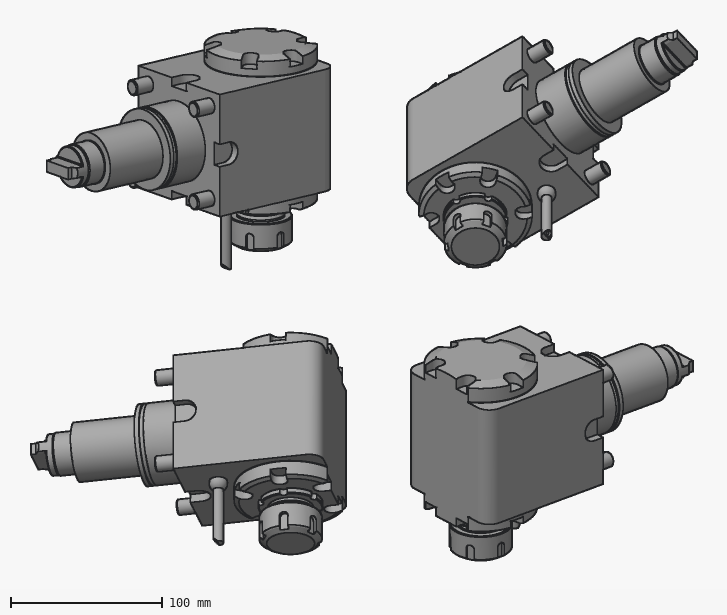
import cadquery as cq
import math


block_width = 85.0
block_depth = 100
block_height = 84.5
block_corner_radius = 10.0
block_top = block_height / 2
block_bottom = -block_height / 2

key_width = 15.5
key_length = 15.5
key_depth = 6.0

shank_diameter = 55
shank_end = 30.0
pilot_diameter = 40.0
pilot_end = 75.0
drive_collar_diameter = 29.5
drive_collar_length = 0.6
drive_diameter = 29.0
drive_end = 88.0
drive_taper_length = 1.0
tang_diameter = 28.0
tang_root = 93.5
tang_root_chamfer = 0.6
tang_end = 104

ring_start = 23.9
ring_section = 3.0

tang_thickness = 8.0
tang_tip_width = 22.5
tang_tip_length = 3.3
tang_flank_drop = 0.6
tang_root_rise = 0.6

cap_diameter = 75.0
cap_axis_y = 70.0
cap_seat_diameter = 74.7
cap_seat_height = 0.5
top_cap_height = 13.3
top_cap_bevel_width = 7.5
top_cap_bevel_height = 2.5
bottom_cap_height = 11.8
bottom_cap_bevel_width = 3.3
bottom_cap_bevel_height = 1.5

cap_slot_width = 10.6
cap_slot_floor = 5.5
cap_slot_radius = 31.8
cap_slot_angles = [0, 180, 240, 308.5]
back_slot_x = 16.0
back_slot_y = 24.5

screw_diameter = 10.6
screw_length = 14.0
screw_chamfer = 0.8
screw_offset = 32.0

collar_diameter = 42.8
collar_chamfer = 0.6
collar_height = 4.3
neck_diameter = 30.5
neck_end = 6.3
relief_diameter = 29.4
relief_end = 7.0
thread_diameter = 32.0
thread_start = 9.2
nut_diameter = 41.6
nut_start = 10.5
nut_end = 30.8
nut_top_chamfer = 0.6
nut_bevel_width = 4.9
nut_bevel_height = 3.3
nut_rim_chamfer = 0.8
notch_count = 6
collar_notch_diameter = 5.0
nut_slot_width = 5.7
nut_slot_length = 13.3
nut_slot_floor_radius = 18.2

nozzle_x = 18.5
nozzle_y = 25.0
ball_diameter = 12.2
ball_drop = 1.8
tube_diameter = 7.0
tube_end_z = -88.5
outlet_diameter = 4
outlet_depth = 3.0


def revolve_about_z(points):
    """Solid from a closed outline of (radius, z) points, turned about the Z axis."""
    return cq.Workplane("XZ").polyline(points).close().revolve(360, (0, 0, 0), (0, 1, 0))


def make_block():
    """Block with its two rear upright edges rounded."""
    block = cq.Workplane("XY").box(
        block_width, block_depth, block_height, centered=(True, False, True)
    )
    return block.edges("|Z and >Y").fillet(block_corner_radius)


def make_key_slot(angle, face_distance):
    """Cutter for a round-ended slot, open to the front, in the face at an angle about Y."""
    radius = key_width / 2
    slot = (
        cq.Workplane("XY", origin=(0, 0, face_distance - key_depth))
        .moveTo(-radius, 0)
        .lineTo(-radius, key_length - radius)
        .threePointArc((0, key_length), (radius, key_length - radius))
        .lineTo(radius, 0)
        .close()
        .extrude(key_depth)
    )
    return slot.rotate((0, 0, 0), (0, 1, 0), angle)


def make_shank():
    """Stepped round shank with an O-ring, ending at the root of the drive tang."""
    shank_radius = shank_diameter / 2
    pilot_radius = pilot_diameter / 2
    collar_radius = drive_collar_diameter / 2
    drive_radius = drive_diameter / 2
    tang_radius = tang_diameter / 2
    ring_radius = ring_section / 2
    ring_end = ring_start + ring_section
    ring_middle = ring_start + ring_radius
    profile = (
        cq.Workplane("XY")
        .lineTo(shank_radius, 0)
        .lineTo(shank_radius, -ring_start)
        .lineTo(shank_radius - ring_radius, -ring_start)
        .threePointArc((shank_radius, -ring_middle), (shank_radius - ring_radius, -ring_end))
        .lineTo(shank_radius, -ring_end)
        .lineTo(shank_radius, -shank_end)
        .lineTo(pilot_radius, -shank_end)
        .lineTo(pilot_radius, -pilot_end)
        .lineTo(collar_radius, -pilot_end)
        .lineTo(collar_radius, -pilot_end - drive_collar_length)
        .lineTo(drive_radius, -pilot_end - drive_collar_length)
        .lineTo(drive_radius, -drive_end)
        .lineTo(tang_radius, -drive_end - drive_taper_length)
        .lineTo(tang_radius, -tang_root + tang_root_chamfer)
        .lineTo(tang_radius - tang_root_chamfer, -tang_root)
        .lineTo(0, -tang_root)
    )
    return profile.close().revolve(360, (0, 0, 0), (0, 1, 0))


def make_tang():
    """Flat drive tang with thinned flanks, a narrower tip and a bevelled root."""
    half_width = tang_diameter / 2
    half_tip = tang_tip_width / 2
    half_thickness = tang_thickness / 2
    flank_half = half_thickness - tang_flank_drop
    flank_width = half_width - half_tip
    tip_start = tang_end - tang_tip_length
    plan = (
        cq.Workplane("XY", origin=(0, 0, -half_thickness))
        .polyline([
            (-half_width, -drive_end - drive_taper_length),
            (-half_width, -tip_start + flank_width),
            (-half_tip, -tip_start),
            (-half_tip, -tang_end),
            (half_tip, -tang_end),
            (half_tip, -tip_start),
            (half_width, -tip_start + flank_width),
            (half_width, -drive_end - drive_taper_length),
        ])
        .close()
        .extrude(tang_thickness)
    )
    section = (
        cq.Workplane("XZ")
        .polyline([
            (-half_width, -flank_half),
            (-half_tip, -half_thickness),
            (half_tip, -half_thickness),
            (half_width, -flank_half),
            (half_width, flank_half),
            (half_tip, half_thickness),
            (-half_tip, half_thickness),
            (-half_width, flank_half),
        ])
        .close()
        .extrude(tang_end)
    )
    round_bar = cq.Workplane("XZ").circle(half_width).extrude(tang_end)
    root_end = tang_root + tang_root_rise
    root_half = half_thickness + tang_root_rise
    root = (
        cq.Workplane("YZ")
        .polyline([
            (-tang_root, -root_half),
            (-root_end, -half_thickness),
            (-root_end, half_thickness),
            (-tang_root, root_half),
        ])
        .close()
        .extrude(half_width - tang_root_chamfer, both=True)
    )
    return plan.intersect(section).union(root).intersect(round_bar)


def make_cap_slot(x, y, angle, height):
    """Cutter for one cap slot: round at (x, y) and open outward in the direction of angle."""
    radius = cap_slot_width / 2
    slot = (
        cq.Workplane("XY", origin=(0, 0, cap_slot_floor))
        .moveTo(cap_diameter / 2, radius)
        .lineTo(0, radius)
        .threePointArc((-radius, 0), (0, -radius))
        .lineTo(cap_diameter / 2, -radius)
        .close()
        .extrude(height)
    )
    return slot.rotate((0, 0, 0), (0, 0, 1), angle).translate((x, y, 0))


def make_cap(height, bevel_width, bevel_height):
    """Slotted cap standing on z = 0 about the Z axis, cut off flush with the block's back."""
    radius = cap_diameter / 2
    seat_radius = cap_seat_diameter / 2
    cap = revolve_about_z([
        (0, 0),
        (seat_radius, 0),
        (seat_radius, cap_seat_height),
        (radius, cap_seat_height),
        (radius, height - bevel_height),
        (radius - bevel_width, height),
        (0, height),
    ])
    for angle in cap_slot_angles:
        x = cap_slot_radius * math.cos(math.radians(angle))
        y = cap_slot_radius * math.sin(math.radians(angle))
        cap = cap.cut(make_cap_slot(x, y, angle, height))
    for side in (-1, 1):
        cap = cap.cut(make_cap_slot(side * back_slot_x, back_slot_y, 90, height))
    beyond_back = cq.Workplane("XY", origin=(0, block_depth - cap_axis_y, 0)).box(
        cap_diameter, cap_diameter, height, centered=(True, False, False)
    )
    return cap.cut(beyond_back)


def make_housing():
    """Block with its shank, drive tang and both caps, and a socket for the nozzle ball."""
    top_cap = make_cap(top_cap_height, top_cap_bevel_width, top_cap_bevel_height)
    bottom_cap = make_cap(bottom_cap_height, bottom_cap_bevel_width, bottom_cap_bevel_height)
    bottom_cap = bottom_cap.rotate((0, 0, 0), (0, 1, 0), 180)
    housing = make_block()
    for angle in (0, 180):
        housing = housing.cut(make_key_slot(angle, block_height / 2))
    for angle in (90, 270):
        housing = housing.cut(make_key_slot(angle, block_width / 2))
    return (
        housing.union(make_shank())
        .union(make_tang())
        .union(top_cap.translate((0, cap_axis_y, block_top)))
        .union(bottom_cap.translate((0, cap_axis_y, block_bottom)))
        .cut(make_ball())
    )


def make_screw(x, z):
    """Screw end standing on the front face of the block."""
    return (
        cq.Workplane("XZ", origin=(x, 0, z))
        .circle(screw_diameter / 2)
        .extrude(screw_length)
        .faces("<Y")
        .chamfer(screw_chamfer)
    )


def make_collar_notches():
    """Round notches around the rim of the spindle collar."""
    return (
        cq.Workplane("XY")
        .polarArray(collar_diameter / 2, 0, 360, notch_count)
        .circle(collar_notch_diameter / 2)
        .extrude(-collar_height)
    )


def make_nut_slot(angle):
    """Cutter for one wrench slot of the nut: round at the top and open at the bottom."""
    radius = nut_slot_width / 2
    top = nut_slot_length - nut_end
    slot = (
        cq.Workplane("YZ", origin=(nut_slot_floor_radius, 0, 0))
        .moveTo(-radius, -nut_end)
        .lineTo(-radius, top - radius)
        .threePointArc((0, top), (radius, top - radius))
        .lineTo(radius, -nut_end)
        .close()
        .extrude(nut_diameter)
    )
    return slot.rotate((0, 0, 0), (0, 0, 1), angle)


def make_collet_spindle():
    """Notched collar, threaded neck and clamping nut, hanging from the bottom cap."""
    collar_radius = collar_diameter / 2
    neck_radius = neck_diameter / 2
    relief_radius = relief_diameter / 2
    thread_radius = thread_diameter / 2
    nut_radius = nut_diameter / 2
    spindle = revolve_about_z([
        (0, 0),
        (collar_radius - collar_chamfer, 0),
        (collar_radius, -collar_chamfer),
        (collar_radius, -collar_height + collar_chamfer),
        (collar_radius - collar_chamfer, -collar_height),
        (neck_radius, -collar_height),
        (neck_radius, -neck_end),
        (relief_radius, -neck_end),
        (relief_radius, -relief_end),
        (thread_radius, -thread_start),
        (thread_radius, -nut_start),
        (nut_radius - nut_top_chamfer, -nut_start),
        (nut_radius, -nut_start - nut_top_chamfer),
        (nut_radius, -nut_end + nut_bevel_height),
        (nut_radius - nut_rim_chamfer, -nut_end + nut_bevel_height - nut_rim_chamfer),
        (nut_radius - nut_bevel_width, -nut_end),
        (0, -nut_end),
    ])
    spindle = spindle.cut(make_collar_notches())
    for index in range(notch_count):
        spindle = spindle.cut(make_nut_slot(index * 360 / notch_count))
    return spindle.translate((0, cap_axis_y, block_bottom - bottom_cap_height))


def make_ball():
    """Ball of the nozzle, partly sunk into the underside of the block."""
    return (
        cq.Workplane("XY", origin=(nozzle_x, nozzle_y, block_bottom - ball_drop))
        .sphere(ball_diameter / 2)
    )


def make_nozzle():
    """Ball with a tube below it; the tube's tip is cut at 45 degrees on the front side.

    The outlet is drilled square into the slanted face.
    """
    tube_radius = tube_diameter / 2
    ball_z = block_bottom - ball_drop
    tube = (
        cq.Workplane("XY", origin=(nozzle_x, nozzle_y, tube_end_z))
        .circle(tube_radius)
        .extrude(ball_z - tube_end_z)
    )
    tip_cut = (
        cq.Workplane("YZ", origin=(nozzle_x, nozzle_y, tube_end_z))
        .polyline([(0, 0), (-tube_radius, 0), (-tube_radius, tube_radius)])
        .close()
        .extrude(tube_radius, both=True)
    )
    face_centre = (nozzle_x, nozzle_y - tube_radius / 2, tube_end_z + tube_radius / 2)
    outlet_plane = cq.Plane(origin=face_centre, xDir=(1, 0, 0), normal=(0, 1, 1))
    outlet = cq.Workplane(outlet_plane).circle(outlet_diameter / 2).extrude(outlet_depth)
    return make_ball().union(tube).cut(tip_cut).cut(outlet)


housing = make_housing()
screws = [
    make_screw(x, z)
    for x in (-screw_offset, screw_offset)
    for z in (-screw_offset, screw_offset)
]
collet_spindle = make_collet_spindle()
nozzle = make_nozzle()

result = cq.Compound.makeCompound([
    housing.val(),
    *[screw.val() for screw in screws],
    collet_spindle.val(),
    nozzle.val(),
])